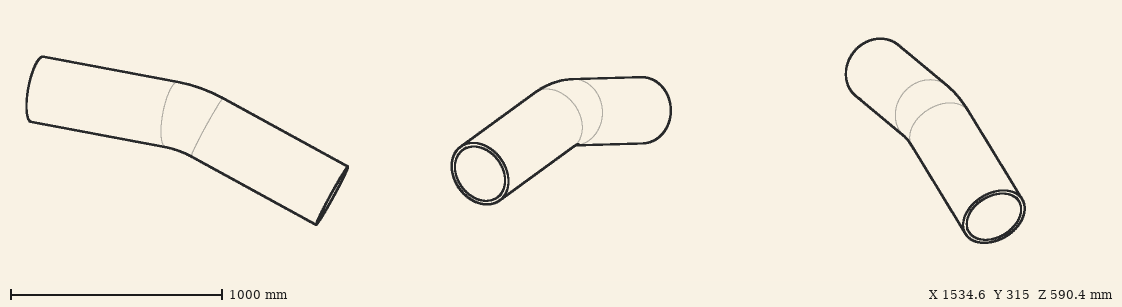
import cadquery as cq
import math

outer_diameter = 315.0
inner_diameter = 277.6
bend_angle = 22.0
bend_radius = 1.5 * outer_diameter
corner_distance = 765.7

tangent_length = bend_radius * math.tan(math.radians(bend_angle / 2))
leg_length = corner_distance - tangent_length


def point_on_bend(angle):
    """Centreline point (X, Z) after turning through the given angle in degrees."""
    turn = math.radians(angle)
    x = leg_length + bend_radius * math.sin(turn)
    z = -bend_radius * (1 - math.cos(turn))
    return (x, z)


def centreline():
    """Straight leg along +X, tangent arc, then the inclined straight leg."""
    bend_end_x, bend_end_z = point_on_bend(bend_angle)
    slope = math.radians(bend_angle)
    outlet = (
        bend_end_x + leg_length * math.cos(slope),
        bend_end_z - leg_length * math.sin(slope),
    )
    return (
        cq.Workplane("XZ")
        .moveTo(0, 0)
        .lineTo(leg_length, 0)
        .threePointArc(point_on_bend(bend_angle / 2), point_on_bend(bend_angle))
        .lineTo(*outlet)
    )


pipe_section = (
    cq.Workplane("YZ")
    .circle(outer_diameter / 2)
    .circle(inner_diameter / 2)
)
result = pipe_section.sweep(centreline())